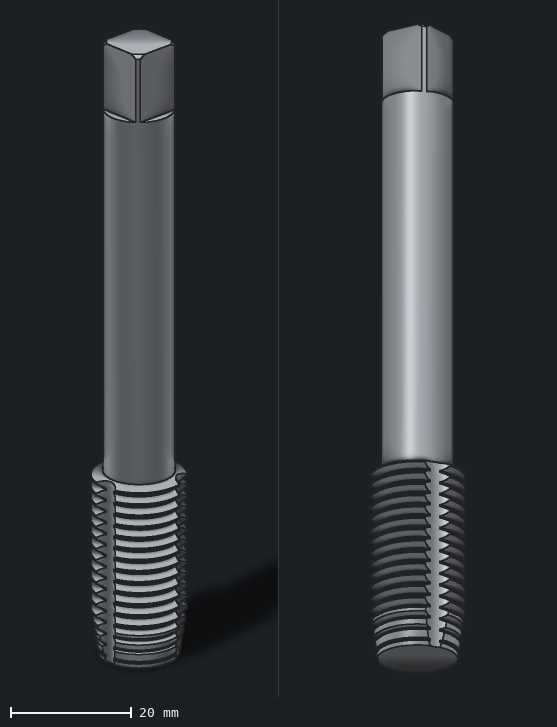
import cadquery as cq
import math

total_length = 110.0

shank_radius = 12.0 / 2
square_width = 9.0
square_length = 12.0
end_bevel = 0.6

major_radius = 16.0 / 2
lowest_full_crest_z = 8.0
top_crest_z = 32.0
full_crest_count = 13
pitch = (top_crest_z - lowest_full_crest_z) / (full_crest_count - 1)
crest_flat = pitch / 8
root_flat = pitch / 8
flank_slope = math.tan(math.radians(60))
groove_depth = (pitch - crest_flat - root_flat) / 2 * flank_slope
root_radius = major_radius - groove_depth

tip_radius = 6.7

top_cone_z = top_crest_z + crest_flat / 2
thread_length = 32.8

flute_count = 3
first_flute_angle = 30.0
flute_radius = 2.9
flute_floor_radius = 6.5


def make_shank():
    """Round shank from the thread up, with its top end squared off within the shank diameter."""
    rod = (
        cq.Workplane("XY")
        .workplane(offset=thread_length)
        .circle(shank_radius)
        .extrude(total_length - thread_length)
        .faces(">Z")
        .chamfer(end_bevel)
    )
    square_start = total_length - square_length
    waste_width = 4 * shank_radius
    waste = (
        cq.Workplane("XY")
        .workplane(offset=square_start)
        .rect(waste_width, waste_width)
        .rect(square_width, square_width)
        .extrude(square_length)
    )
    return rod.cut(waste)


def make_thread_blank():
    """Tapered tip, cylinder and conical top, before the grooves and flutes are cut."""
    return (
        cq.Workplane("XZ")
        .moveTo(0, 0)
        .lineTo(tip_radius, 0)
        .lineTo(major_radius, lowest_full_crest_z)
        .lineTo(major_radius, top_cone_z)
        .lineTo(shank_radius, thread_length)
        .lineTo(0, thread_length)
        .close()
        .revolve(360, (0, 0), (0, 1))
    )


def make_groove(center_z):
    """Ring with a flat-bottomed V section that cuts the groove between two crests."""
    mouth_half_width = (pitch - crest_flat) / 2
    root_half_width = root_flat / 2
    outer_radius = major_radius + pitch
    return (
        cq.Workplane("XZ")
        .moveTo(root_radius, center_z - root_half_width)
        .lineTo(major_radius, center_z - mouth_half_width)
        .lineTo(outer_radius, center_z - mouth_half_width)
        .lineTo(outer_radius, center_z + mouth_half_width)
        .lineTo(major_radius, center_z + mouth_half_width)
        .lineTo(root_radius, center_z + root_half_width)
        .close()
        .revolve(360, (0, 0), (0, 1))
    )


def make_flutes():
    """Round-bottomed cutters along the full thread length, spread evenly around the axis."""
    return (
        cq.Workplane("XY")
        .polarArray(flute_floor_radius + flute_radius, first_flute_angle, 360, flute_count)
        .circle(flute_radius)
        .extrude(thread_length)
    )


def make_thread():
    """Fluted cutting section; the grooves carry on down through the lead taper to the tip."""
    thread = make_thread_blank()
    groove_z = top_crest_z - pitch / 2
    while groove_z > 0:
        thread = thread.cut(make_groove(groove_z))
        groove_z -= pitch
    return thread.cut(make_flutes())


shank = make_shank()
thread = make_thread()

result = cq.Compound.makeCompound([shank.val(), thread.val()])